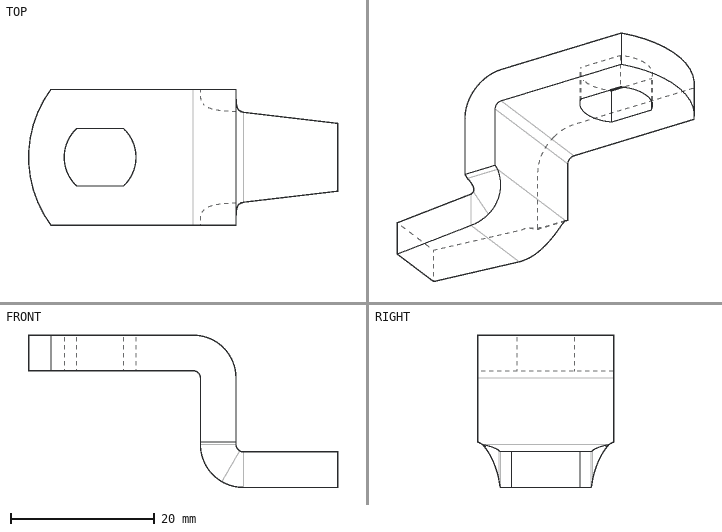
import cadquery as cq
import math

thickness = 5.0
width = 19.0
height = 21.3
length = 43.2

hole_length = 10.0
hole_end_radius = 5.5
hole_across_flats = 8.0
hole_centre_to_end = 10.0
end_radius = 16.0
plate_bend_start = 13.0

inner_bend_radius = 1.0
outer_bend_radius = inner_bend_radius + thickness
neutral_radius = inner_bend_radius + thickness / 2

tongue_root_width = 12.6
tongue_tip_width = 9.5
shoulder_radius = 5.0
shoulder_start_angle = math.radians(30)

half_width = width / 2
plate_end_x = -hole_centre_to_end
tongue_tip_x = plate_end_x + length
wall_inner_x = plate_bend_start + inner_bend_radius
wall_outer_x = wall_inner_x + thickness
tongue_bend_x = wall_inner_x + outer_bend_radius
plate_bottom_z = height - thickness
upper_bend_z = height - outer_bend_radius
lower_bend_z = outer_bend_radius

tongue_length = tongue_tip_x - tongue_bend_x
taper_slope = (tongue_root_width - tongue_tip_width) / 2 / tongue_length
taper_angle = math.atan(taper_slope)
bend_flat_length = neutral_radius * math.pi / 2
shoulder_start = neutral_radius * shoulder_start_angle
shoulder_start_y = tongue_root_width / 2 + taper_slope * shoulder_start
shoulder_centre = shoulder_start - shoulder_radius * math.sin(taper_angle)
shoulder_centre_y = shoulder_start_y + shoulder_radius * math.cos(taper_angle)
shoulder_end = shoulder_centre + math.sqrt(shoulder_radius**2 - (shoulder_centre_y - half_width) ** 2)

clearance = 0.5
sections_per_cut = 9


def edge_half_width(distance):
    """Half width of the flat tongue: a straight taper, then a shoulder arc tangent to it."""
    if distance <= shoulder_start:
        return tongue_root_width / 2 + taper_slope * distance
    return shoulder_centre_y - math.sqrt(shoulder_radius**2 - (distance - shoulder_centre) ** 2)


def both_sides(body):
    return body.union(body.mirror("XZ"))


def make_strip():
    """Constant-thickness Z profile at full width."""
    midpoint_factor = math.sqrt(0.5)
    upper_centre = (plate_bend_start, upper_bend_z)
    lower_centre = (tongue_bend_x, lower_bend_z)

    def on_bend(centre, radius, side):
        offset = side * radius * midpoint_factor
        return (centre[0] + offset, centre[1] + offset)

    profile = (
        cq.Workplane("XZ")
        .moveTo(plate_end_x, height)
        .lineTo(plate_bend_start, height)
        .threePointArc(on_bend(upper_centre, outer_bend_radius, 1), (wall_outer_x, upper_bend_z))
        .lineTo(wall_outer_x, lower_bend_z)
        .threePointArc(on_bend(lower_centre, inner_bend_radius, -1), (tongue_bend_x, thickness))
        .lineTo(tongue_tip_x, thickness)
        .lineTo(tongue_tip_x, 0)
        .lineTo(tongue_bend_x, 0)
        .threePointArc(on_bend(lower_centre, outer_bend_radius, -1), (wall_inner_x, lower_bend_z))
        .lineTo(wall_inner_x, upper_bend_z)
        .threePointArc(on_bend(upper_centre, inner_bend_radius, 1), (plate_bend_start, plate_bottom_z))
        .lineTo(plate_end_x, plate_bottom_z)
        .close()
    )
    return profile.extrude(half_width, both=True)


def round_plate_end(body):
    """Trim the free end of the plate to a shallow arc."""
    arc_zone = cq.Workplane("XY").center(plate_end_x + end_radius, 0).circle(end_radius).extrude(height)
    rest = cq.Workplane("XY").box(length, width, height, centered=(False, True, False))
    return body.intersect(arc_zone.union(rest))


def make_hole():
    """Hole with two flats parallel to X and a shallow arc at each end."""
    end_x = hole_length / 2
    corner_y = hole_across_flats / 2
    end_rise = hole_end_radius - math.sqrt(hole_end_radius**2 - corner_y**2)
    corner_x = end_x - end_rise
    return (
        cq.Workplane("XY")
        .moveTo(-corner_x, corner_y)
        .lineTo(corner_x, corner_y)
        .threePointArc((end_x, 0), (corner_x, -corner_y))
        .lineTo(-corner_x, -corner_y)
        .threePointArc((-end_x, 0), (-corner_x, corner_y))
        .close()
        .extrude(height)
    )


def make_taper_cut():
    """Waste beside the straight part of the tongue."""
    waste = (
        cq.Workplane("XY")
        .moveTo(tongue_bend_x, tongue_root_width / 2)
        .lineTo(tongue_tip_x, tongue_tip_width / 2)
        .lineTo(tongue_tip_x, width)
        .lineTo(tongue_bend_x, width)
        .close()
        .extrude(thickness)
    )
    return both_sides(waste)


def bend_section(angle):
    """Radial rectangle of waste beside the lower bend, at an angle from the tongue end."""
    edge_y = edge_half_width(neutral_radius * angle)
    inner = inner_bend_radius - clearance
    outer = outer_bend_radius + clearance
    corners = [(inner, edge_y), (outer, edge_y), (outer, width), (inner, width)]
    points = [
        cq.Vector(tongue_bend_x - radius * math.sin(angle), y, lower_bend_z - radius * math.cos(angle))
        for radius, y in corners
    ]
    return cq.Wire.makePolygon(points, close=True)


def make_bend_cut(start_angle, end_angle):
    """Waste beside a stretch of the lower bend, with the flat edge wrapped round the bend."""
    step = (end_angle - start_angle) / (sections_per_cut - 1)
    sections = [bend_section(start_angle + i * step) for i in range(sections_per_cut)]
    return both_sides(cq.Workplane(obj=cq.Solid.makeLoft(sections)))


def make_wall_cut():
    """Waste at the foot of the wall, where the shoulder arc runs out to full width."""
    middle = (bend_flat_length + shoulder_end) / 2
    flat_to_z = lower_bend_z - bend_flat_length
    waste = (
        cq.Workplane("YZ", origin=(wall_inner_x, 0, 0))
        .moveTo(edge_half_width(bend_flat_length), lower_bend_z)
        .threePointArc((edge_half_width(middle), middle + flat_to_z), (half_width, shoulder_end + flat_to_z))
        .lineTo(half_width, lower_bend_z)
        .close()
        .extrude(thickness)
    )
    return both_sides(waste)


result = round_plate_end(make_strip())
result = result.cut(make_hole())
result = result.cut(make_taper_cut())
result = result.cut(make_bend_cut(0, shoulder_start_angle))
result = result.cut(make_bend_cut(shoulder_start_angle, math.pi / 2))
result = result.cut(make_wall_cut())